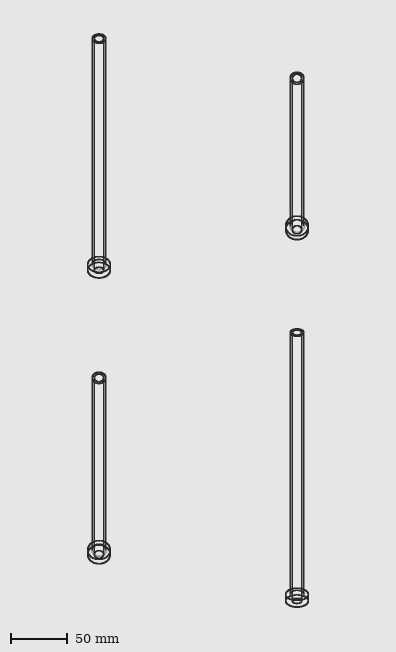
import cadquery as cq

total_length = 282.0
head_diameter = 20.0
head_height = 7.0
shaft_diameter = 12.0
bore_diameter = 8.2
neck_fillet = 0.62

head = cq.Workplane("XY").circle(head_diameter / 2).extrude(head_height)

shaft = cq.Workplane("XY").circle(shaft_diameter / 2).extrude(total_length)
body = head.union(shaft)

head_top = cq.selectors.NearestToPointSelector((0, 0, head_height))
inner_edge = cq.selectors.RadiusNthSelector(0)
body = body.faces(head_top).edges(inner_edge).fillet(neck_fillet)

bore = cq.Workplane("XY").circle(bore_diameter / 2).extrude(total_length)
result = body.cut(bore)